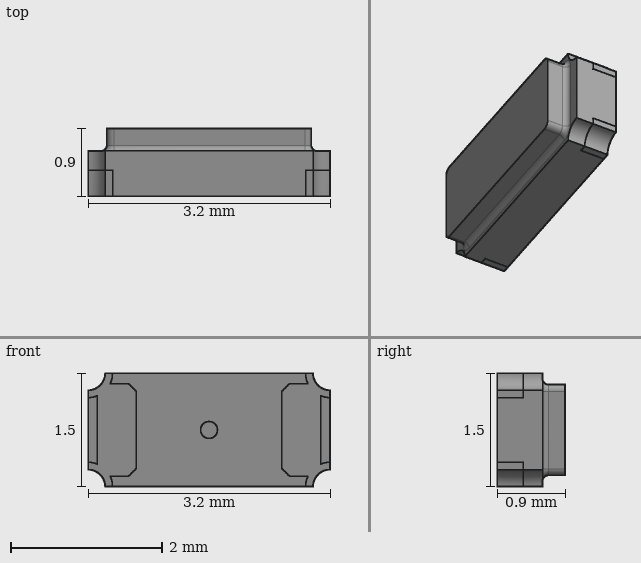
import cadquery as cq

length = 3.2
height = 1.5
total_depth = 0.9
base_depth = 0.6
notch_radius = 0.225

lid_length = 2.707
lid_height = 1.203
lid_corner_radius = 0.09
lid_root_fillet = 0.077

terminal_depth = 0.35
terminal_ring_radius = notch_radius + 0.1
pad_end_margin = 0.12
pad_side_margin = 0.138
pad_inner_edge = 0.637
pad_chamfer = 0.102

marker_diameter = 0.225
marker_depth = 0.1

corners = [(x, z) for x in (-length / 2, length / 2) for z in (-height / 2, height / 2)]


def section_plane(y=0.0):
    """XZ plane at the given Y whose extrusions run toward +Y, with local axes X and -Z."""
    return cq.Workplane(cq.Plane(origin=(0, y, 0), xDir=(1, 0, 0), normal=(0, 1, 0)))


def make_base_block():
    """Rectangular block with a quarter-round notch along each corner."""
    block = section_plane().rect(length, height).extrude(base_depth)
    notches = section_plane().pushPoints(corners).circle(notch_radius).extrude(base_depth)
    return block.cut(notches)


def make_terminal(side):
    """Terminal at the -X end (side = -1) or the +X end (side = +1)."""
    pad_length = pad_inner_edge - pad_end_margin
    pad_center = side * (length / 2 - pad_end_margin - pad_length / 2)
    pad = (
        section_plane()
        .center(pad_center, 0)
        .rect(pad_length, height - 2 * pad_side_margin)
        .extrude(terminal_depth)
        .edges("|Y")
        .edges("<X" if side > 0 else ">X")
        .chamfer(pad_chamfer)
    )
    end_corners = [(x, z) for x, z in corners if x * side > 0]
    rings = section_plane().pushPoints(end_corners).circle(terminal_ring_radius).extrude(terminal_depth)
    return pad.union(rings).intersect(make_base_block())


def make_marker():
    return section_plane().circle(marker_diameter / 2).extrude(marker_depth)


def make_housing(inserts):
    """Base and lid in one piece, with a matching recess for each inserted body."""
    lid = (
        section_plane(base_depth)
        .rect(lid_length, lid_height)
        .extrude(total_depth - base_depth)
        .edges("|Y")
        .fillet(lid_corner_radius)
    )
    lid_root = cq.selectors.BoxSelector(
        (-lid_length / 2 - 0.032, base_depth - 0.003, -lid_height / 2 - 0.032),
        (lid_length / 2 + 0.032, base_depth + 0.003, lid_height / 2 + 0.032),
        boundingbox=True,
    )
    housing = make_base_block().union(lid).edges(lid_root).fillet(lid_root_fillet)
    for insert in inserts:
        housing = housing.cut(insert)
    return housing


terminals = [make_terminal(side) for side in (-1, 1)]
marker = make_marker()
housing = make_housing([*terminals, marker])

bodies = [housing, *terminals, marker]
result = cq.Compound.makeCompound([solid for body in bodies for solid in body.solids().vals()])